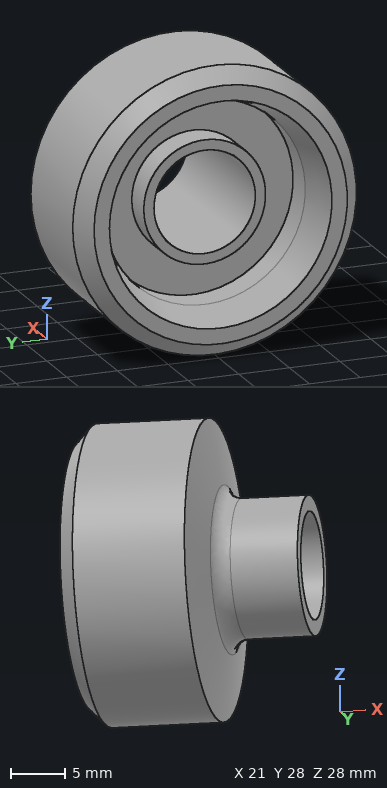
import cadquery as cq
import math

length = 21.0
rim_diameter = 28.0
rim_length = 12.0
rim_chamfer = 1.5
back_slope = 10.0

hub_diameter = 13.0
hub_fillet = 1.6

recess_diameter = 19.8
recess_depth = 7.0
mouth_depth = 4.0
mouth_taper = 15.0

boss_diameter = 12.0
boss_height = recess_depth - mouth_depth
bore_diameter = 10.0

rim_radius = rim_diameter / 2
hub_radius = hub_diameter / 2
recess_radius = recess_diameter / 2
mouth_radius = recess_radius + mouth_depth * math.tan(math.radians(mouth_taper))
hub_start = rim_length + (rim_radius - hub_radius) * math.tan(math.radians(back_slope))


def revolve_about_x(profile):
    """Turn a closed (axial, radial) outline a full circle about the X axis."""
    return cq.Workplane("XY").polyline(profile).close().revolve(360, (0, 0, 0), (1, 0, 0))


def cylinder_along_x(diameter, start, height):
    return cq.Workplane("YZ", origin=(start, 0, 0)).circle(diameter / 2).extrude(height)


def make_body():
    body = revolve_about_x([
        (0, 0),
        (0, rim_radius - rim_chamfer),
        (rim_chamfer, rim_radius),
        (rim_length, rim_radius),
        (hub_start, hub_radius),
        (length, hub_radius),
        (length, 0),
    ])
    hub_root = cq.selectors.NearestToPointSelector((hub_start, 0, 0))
    return body.edges("%CIRCLE").edges(hub_root).fillet(hub_fillet)


def make_recess():
    return revolve_about_x([
        (0, 0),
        (0, mouth_radius),
        (mouth_depth, recess_radius),
        (recess_depth, recess_radius),
        (recess_depth, 0),
    ])


boss = cylinder_along_x(boss_diameter, mouth_depth, boss_height)
bore = cylinder_along_x(bore_diameter, 0, length)

result = make_body().cut(make_recess()).union(boss).cut(bore)